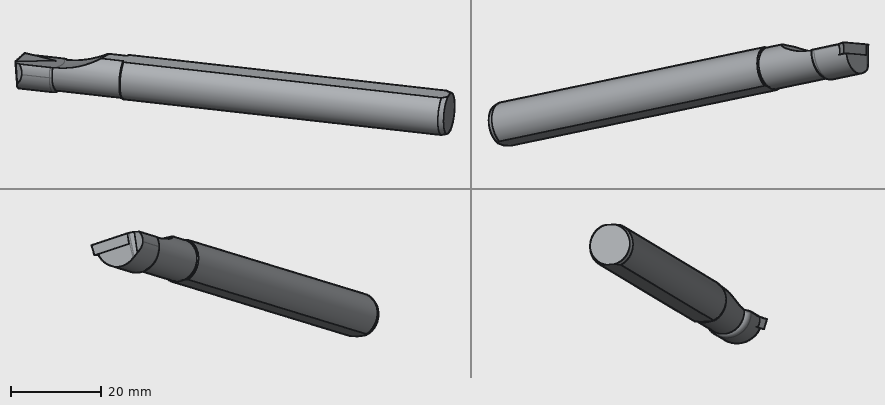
import cadquery as cq
import math

length = 100.0
shank_radius = 5.0
flat_height = 4.5
neck_radius = 4.75
neck_end = 25.1
shoulder_length = 0.3
end_taper_length = 1.2
end_taper_depth = 0.4

head_end = 10.4
head_radius = 5.4
head_offset = 0.5
upper_head_radius = head_radius - head_offset
head_back_fillet = 1.4

rake_angle = 11.0
tip_y = 7.0
scoop_radius = 17.6
scoop_start = 10.6
scoop_sweep_radius = 13.0

relief_angle = 7.0
insert_side = 9.4
insert_thickness = 2.4
lead_angle = 2.7
corner_points = [(0.5, -9.8), (1.0, -10.9), (1.9, -11.5)]

margin = 20.0

rake_plane = cq.Plane(
    origin=(0, tip_y, 0),
    xDir=(1, 0, 0),
    normal=(0, math.sin(math.radians(rake_angle)), math.cos(math.radians(rake_angle))),
)


def polar(distance, degrees):
    angle = math.radians(degrees)
    return (distance * math.cos(angle), distance * math.sin(angle))


def make_shank():
    end_radius = shank_radius - end_taper_depth
    body = (
        cq.Workplane("XY")
        .moveTo(neck_end, 0)
        .lineTo(neck_end, neck_radius)
        .lineTo(neck_end + shoulder_length, shank_radius)
        .lineTo(length - end_taper_length, shank_radius)
        .lineTo(length, end_radius)
        .lineTo(length, 0)
        .close()
        .revolve(360, (0, 0, 0), (1, 0, 0))
    )
    between_flats = cq.Workplane("XY").box(2 * length, 2 * margin, 2 * flat_height)
    return body.intersect(between_flats)


def make_neck():
    neck_start = head_end - head_back_fillet
    body = cq.Workplane("YZ", origin=(neck_start, 0, 0)).circle(neck_radius).extrude(neck_end - neck_start)
    above_flat = cq.Workplane("XY", origin=(0, 0, flat_height)).rect(2 * length, 2 * margin).extrude(margin)
    return body.cut(above_flat)


def make_head():
    """Half-round below the axis; above it a smaller arc on the -Y side and a wall on the +Y side."""
    outer_y = head_offset + head_radius
    return (
        cq.Workplane("YZ")
        .moveTo(-upper_head_radius, 0)
        .threePointArc((head_offset, -head_radius), (outer_y, 0))
        .lineTo(outer_y, upper_head_radius)
        .lineTo(0, upper_head_radius)
        .threePointArc(polar(upper_head_radius, 135), (-upper_head_radius, 0))
        .close()
        .extrude(head_end)
        .faces(">X")
        .edges()
        .fillet(head_back_fillet)
    )


def make_rake_cutter():
    """Everything above the rake face, with a concave run-out tangent to it.

    The profile is revolved about a normal of the rake face, so the run-out starts along an arc.
    """
    axis_y = -tip_y / math.cos(math.radians(rake_angle))
    profile_plane = cq.Plane(
        origin=rake_plane.toWorldCoords((scoop_start - scoop_sweep_radius, axis_y, 0)).toTuple(),
        xDir=(1, 0, 0),
        normal=(-rake_plane.yDir).toTuple(),
    )
    diagonal = scoop_radius * math.sqrt(0.5)
    return (
        cq.Workplane(profile_plane)
        .lineTo(scoop_sweep_radius, 0)
        .threePointArc(
            (scoop_sweep_radius + diagonal, scoop_radius - diagonal),
            (scoop_sweep_radius + scoop_radius, scoop_radius),
        )
        .lineTo(0, scoop_radius)
        .close()
        .revolve(360, (0, 0, 0), (0, 1, 0))
    )


def make_relief_cutter(start, end):
    """Space in front of the line from start to end on the rake face, leaning back by the relief angle."""
    edge = cq.Vector(end[0] - start[0], end[1] - start[1], 0).normalized()
    along = rake_plane.xDir * edge.x + rake_plane.yDir * edge.y
    outward = along.cross(rake_plane.zDir)
    tilt = math.radians(relief_angle)
    normal = outward * math.cos(tilt) - rake_plane.zDir * math.sin(tilt)
    plane = cq.Plane(
        origin=rake_plane.toWorldCoords((start[0], start[1], 0)).toTuple(),
        xDir=along.toTuple(),
        normal=(-normal).toTuple(),
    )
    return cq.Workplane(plane).rect(2 * margin, 2 * margin).extrude(-margin)


def make_insert_prism():
    inner_corner = polar(insert_side, lead_angle - 90)
    rear_corner = polar(insert_side, lead_angle - 30)
    return (
        cq.Workplane(rake_plane)
        .polyline([(0, 0), inner_corner, rear_corner])
        .close()
        .extrude(-insert_thickness)
    )


front_relief = make_relief_cutter((0, 0), polar(insert_side, lead_angle - 90))
insert = make_insert_prism().cut(front_relief)

bar = make_shank().union(make_neck()).union(make_head())
bar = bar.cut(make_rake_cutter()).cut(front_relief)
facet_points = [polar(insert_side, lead_angle - 90)] + corner_points
for facet_start, facet_end in zip(facet_points, facet_points[1:]):
    bar = bar.cut(make_relief_cutter(facet_start, facet_end))
bar = bar.cut(make_insert_prism())

result = cq.Compound.makeCompound([bar.val(), insert.val()])